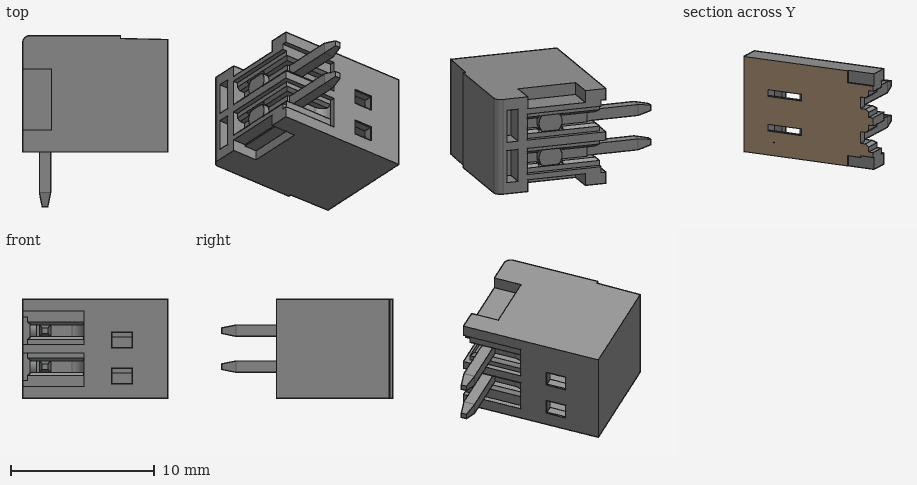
import cadquery as cq


BODY_X = 10.1
BODY_Y = 8.1
BODY_Z = 6.9
CORNER_RADIUS = 0.5
BACK_STEP_X = 6.82
BACK_STEP_DEPTH = 0.2
BACK_STEP_END_DEPTH = 0.27

POLE_PITCH = 2.5
POLE_Z = POLE_PITCH / 2

NOTCH_X = 2.0
NOTCH_Y0 = 1.52
NOTCH_Y1 = 5.77
NOTCH_DEPTH = 0.86
BOTTOM_LEDGE_X = 1.0
BOTTOM_LEDGE_DEPTH = 0.74

OPENING_X = 4.28
OPENING_Y = 5.8
OPENING_HALF_Z = 0.95
RECESS_DEPTH = 0.35
RECESS_INNER_Z = POLE_Z - OPENING_HALF_Z
RECESS_OUTER_Z = 2.63
MOUTH_HEIGHT = 1.2
MOUTH_RUN = 0.25

PIN_SIZE = 0.8
PIN_X = 1.56
PIN_TIP_SIZE = 0.4
PIN_LENGTH = 3.8
PIN_TAPER = 1.0
PIN_EMBED = 1.0
SLOT_HEIGHT = PIN_SIZE
SLOT_FLOOR_X = 0.97
SLOT_FLOOR_Y = 1.05
SLOT_END_RADIUS = 0.85

HEAD_RADIUS = 0.85
HEAD_X = 0.51
HEAD_Y = 3.9
HEAD_GAP_WIDTH = 1.78

POCKET_Y0 = 6.48
POCKET_Y1 = 7.3
POCKET_DEPTH = 1.5

WINDOW_X = 6.92
WINDOW_WIDTH = 1.38
WINDOW_HEIGHT = 1.04
WINDOW_DROP = 0.64
WINDOW_CHAMFER = 0.04
WINDOW_CHAMFER_DEPTH = 0.08
WINDOW_DEPTH = 0.65
CHAMBER_WIDTH = 2.6
CHAMBER_HEIGHT = 1.3
CHAMBER_Y = 1.4
CHAMBER_SHELF_RISE = 0.2
CHAMBER_SHELF_Y = 1.8


def block(x0, x1, y0, y1, z0, z1):
    """Box between two opposite corners."""
    return cq.Workplane("XY").box(x1 - x0, y1 - y0, z1 - z0, centered=False).translate((x0, y0, z0))


def centred_block(x0, x1, y0, y1, z, height):
    """Box of a given height centred on z."""
    return block(x0, x1, y0, y1, z - height / 2, z + height / 2)


def housing():
    """Block with a rounded back-left corner and a sloped step at the back right."""
    return (
        cq.Workplane("XY")
        .moveTo(0, 0)
        .lineTo(BODY_X, 0)
        .lineTo(BODY_X, BODY_Y - BACK_STEP_END_DEPTH)
        .lineTo(BACK_STEP_X, BODY_Y - BACK_STEP_DEPTH)
        .lineTo(BACK_STEP_X, BODY_Y)
        .lineTo(CORNER_RADIUS, BODY_Y)
        .radiusArc((0, BODY_Y - CORNER_RADIUS), -CORNER_RADIUS)
        .close()
        .extrude(BODY_Z)
        .translate((0, 0, -BODY_Z / 2))
    )


def top_notch():
    top = BODY_Z / 2
    return block(0, NOTCH_X, NOTCH_Y0, NOTCH_Y1, top - NOTCH_DEPTH, top)


def bottom_notch():
    """Notch whose inner half is slightly shallower."""
    bottom = -BODY_Z / 2
    outer = block(0, BOTTOM_LEDGE_X, NOTCH_Y0, NOTCH_Y1, bottom, bottom + NOTCH_DEPTH)
    inner = block(0, NOTCH_X, NOTCH_Y0, NOTCH_Y1, bottom, bottom + BOTTOM_LEDGE_DEPTH)
    return outer.union(inner)


def pole_span(side, x0, x1, y0, y1):
    """Box over the full height of one pole; side is +1 for the upper pole, -1 for the lower."""
    z0, z1 = sorted((side * RECESS_INNER_Z, side * RECESS_OUTER_Z))
    return block(x0, x1, y0, y1, z0, z1)


def front_slot(z, height):
    """Slot behind the front face, with a rounded far end that breaks out into the recess."""
    arc_start_x = OPENING_X - SLOT_END_RADIUS
    arc_end_y = SLOT_FLOOR_Y - SLOT_END_RADIUS
    return (
        cq.Workplane("XY")
        .moveTo(RECESS_DEPTH, arc_end_y)
        .lineTo(OPENING_X, arc_end_y)
        .radiusArc((arc_start_x, SLOT_FLOOR_Y), -SLOT_END_RADIUS)
        .lineTo(RECESS_DEPTH, SLOT_FLOOR_Y)
        .close()
        .extrude(height)
        .translate((0, 0, z - height / 2))
    )


def mouth_bevel(z):
    """Wedge cut that narrows the mouth to the slot height along the left and front faces."""
    half_mouth = MOUTH_HEIGHT / 2
    half_slot = SLOT_HEIGHT / 2
    edge = RECESS_DEPTH
    inner = edge + MOUTH_RUN
    profile = [(edge, -half_mouth), (inner, -half_slot), (inner, half_slot), (edge, half_mouth)]
    along_front = (
        cq.Workplane("YZ").polyline(profile).close().extrude(OPENING_X - edge).translate((edge, 0, z))
    )
    along_left = (
        cq.Workplane("XZ").polyline(profile).close().extrude(edge - OPENING_Y).translate((0, edge, z))
    )
    return along_front.intersect(front_slot(z, MOUTH_HEIGHT)).union(along_left)


def pin_slot(z):
    """Slot behind the mouth: straight on the left, with a rounded end on the front."""
    left = centred_block(RECESS_DEPTH, SLOT_FLOOR_X, RECESS_DEPTH, OPENING_Y, z, SLOT_HEIGHT)
    return left.union(front_slot(z, SLOT_HEIGHT))


def contact_head_gap(z):
    """Full mouth height clearance around the contact head."""
    half = HEAD_GAP_WIDTH / 2
    return centred_block(RECESS_DEPTH, SLOT_FLOOR_X, HEAD_Y - half, HEAD_Y + half, z, MOUTH_HEIGHT)


def opening(side):
    """All cuts that expose one pin and its contact."""
    z = side * POLE_Z
    front_recess = pole_span(side, 0, OPENING_X, 0, RECESS_DEPTH)
    left_recess = centred_block(0, RECESS_DEPTH, RECESS_DEPTH, OPENING_Y, z, 2 * OPENING_HALF_Z)
    return (
        front_recess.union(left_recess)
        .union(mouth_bevel(z))
        .union(pin_slot(z))
        .union(contact_head_gap(z))
    )


def contact_head(z):
    """Disc along X, trimmed flat to the mouth height."""
    disc = (
        cq.Workplane("YZ")
        .center(HEAD_Y, z)
        .circle(HEAD_RADIUS)
        .extrude(SLOT_FLOOR_X - HEAD_X)
        .translate((HEAD_X, 0, 0))
    )
    trim = centred_block(0, SLOT_FLOOR_X, 0, OPENING_Y, z, MOUTH_HEIGHT)
    return disc.intersect(trim)


def pin(z):
    """Square pin with a tapered tip pointing to -Y."""
    taper_y = PIN_TAPER - PIN_LENGTH
    half = PIN_SIZE / 2
    shank = centred_block(PIN_X - half, PIN_X + half, taper_y, SLOT_FLOOR_Y + PIN_EMBED, z, PIN_SIZE)
    tip = (
        cq.Workplane("XZ", origin=(PIN_X, taper_y, z))
        .rect(PIN_SIZE, PIN_SIZE)
        .workplane(offset=PIN_TAPER)
        .rect(PIN_TIP_SIZE, PIN_TIP_SIZE)
        .loft(combine=True)
    )
    return shank.union(tip)


def left_pocket(side):
    return pole_span(side, 0, POCKET_DEPTH, POCKET_Y0, POCKET_Y1)


def window(z):
    """Bevelled window opening into a wider chamber with a shelf at its back."""
    half = WINDOW_WIDTH / 2
    throat = centred_block(WINDOW_X - half, WINDOW_X + half, 0, WINDOW_DEPTH, z, WINDOW_HEIGHT)
    bevel = (
        cq.Workplane("XZ", origin=(WINDOW_X, WINDOW_CHAMFER_DEPTH, z))
        .rect(WINDOW_WIDTH, WINDOW_HEIGHT)
        .workplane(offset=WINDOW_CHAMFER_DEPTH)
        .rect(WINDOW_WIDTH + 2 * WINDOW_CHAMFER, WINDOW_HEIGHT + 2 * WINDOW_CHAMFER)
        .loft(combine=True)
    )
    x0 = WINDOW_X - CHAMBER_WIDTH / 2
    x1 = WINDOW_X + CHAMBER_WIDTH / 2
    chamber = centred_block(x0, x1, WINDOW_DEPTH, CHAMBER_Y, z, CHAMBER_HEIGHT)
    shelf = block(x0, x1, CHAMBER_Y, CHAMBER_SHELF_Y, z + CHAMBER_SHELF_RISE, z + CHAMBER_HEIGHT / 2)
    return throat.union(bevel).union(chamber).union(shelf)


result = housing().cut(top_notch()).cut(bottom_notch())

for pole_side in (1, -1):
    pole_z = pole_side * POLE_Z
    result = result.cut(opening(pole_side)).cut(left_pocket(pole_side)).cut(window(pole_z - WINDOW_DROP))
    result = result.union(contact_head(pole_z)).union(pin(pole_z))